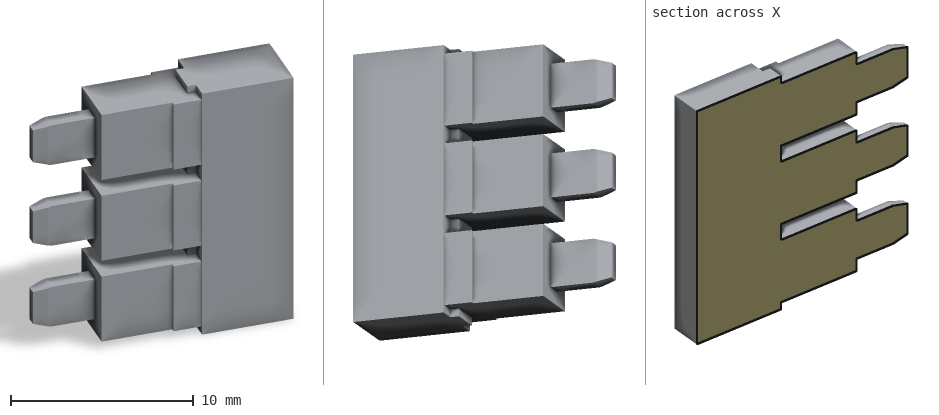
import cadquery as cq

pole_count = 3
pitch = 5.1

bar_width = 4.0
bar_height = 15.2
bar_depth = 5.3

rib_width = 1.95
rib_depth = 0.5

block_height = 4.1
shoulder_width = 3.75
shoulder_depth = 1.6
nose_width = 3.3
nose_depth = 4.1

pin_width = 1.0
pin_height = 2.5
pin_length = 3.5
tip_width = 0.6
tip_height = 2.0
width_taper_length = 0.8
height_taper_length = 1.0

bar_front = -bar_depth / 2
shoulder_front = bar_front - shoulder_depth
nose_front = shoulder_front - nose_depth
pin_end = nose_front - pin_length


def forward_box(width, height, y_start, length, z_center=0):
    """Box centred on X that extends from y_start toward -Y."""
    return (
        cq.Workplane("XZ", origin=(0, y_start, z_center))
        .rect(width, height)
        .extrude(length)
    )


def tapered_outline(plane, pin_size, tip_size, taper_length):
    """Outline of the pin in one plane, from the nose to a tip narrowed over taper_length."""
    taper_start = pin_end + taper_length
    return cq.Workplane(plane).polyline(
        [
            (-pin_size / 2, nose_front),
            (-pin_size / 2, taper_start),
            (-tip_size / 2, pin_end),
            (tip_size / 2, pin_end),
            (pin_size / 2, taper_start),
            (pin_size / 2, nose_front),
        ]
    ).close()


def blade_pin(z_center):
    """Pin common to a top outline and a side outline, each with its own taper."""
    top_outline = tapered_outline("XY", pin_width, tip_width, width_taper_length)
    side_outline = tapered_outline("ZY", pin_height, tip_height, height_taper_length)
    pin = top_outline.extrude(pin_height / 2, both=True).intersect(
        side_outline.extrude(pin_width / 2, both=True)
    )
    return pin.translate((0, 0, z_center))


def pole(z_center):
    """Shoulder, nose and pin of one pole."""
    shoulder = forward_box(shoulder_width, block_height, bar_front, shoulder_depth, z_center)
    nose = forward_box(nose_width, block_height, shoulder_front, nose_depth, z_center)
    return shoulder.union(nose).union(blade_pin(z_center))


bar = forward_box(bar_width, bar_height, bar_depth / 2, bar_depth)
rib = forward_box(rib_width, bar_height, bar_front, rib_depth)

result = bar.union(rib)
for index in range(pole_count):
    pole_z = (index - (pole_count - 1) / 2) * pitch
    result = result.union(pole(pole_z))